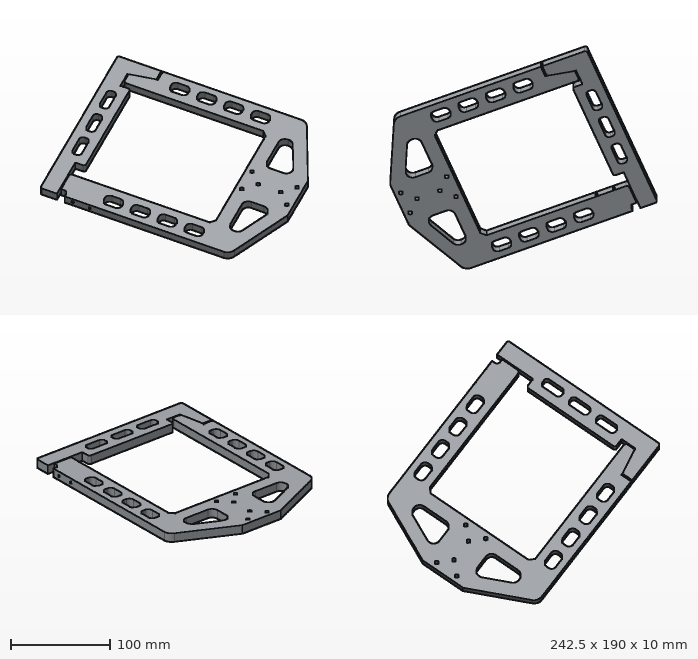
import cadquery as cq

length = 242.5
width = 190.0
thickness = 10.0
mid_y = width / 2

arm_width = 29.3
arm_gap = 1.2
inner_end_x = 179.2
inner_corner_bevel = 4.8
arm_tip_radius = 3.0
taper_start_x = 209.5
head_nose_width = 50.0
taper_corner_radius = 10.0

bar_width = 18.7
bar_corner_radius = 2.5
hook_reach = 48.3
hook_depth = 12.1
hook_root_depth = 17.7
hook_slot = 1.7
tooth_reach = 29.5
tooth_length = 110.5
tooth_center_y = 100.2
tooth_radius = 2.5

notch_x = 27.2
notch_height = 7.3
notch_radius = 4.0

window_count = 4
window_length = 20.0
window_width = 12.5
window_pitch = 29.8
window_first_x = 75.0
window_edge_offset = 13.8
window_radius = 5.0

slot_count = 3
slot_length = 24.0
slot_width = 10.2
slot_radius = 4.1
slot_pitch = 33.5
slot_x = 14.5

head_window_left_x = 194.5
head_window_base_offset = 24.0
head_window_base_length = 32.3
head_window_radius = 7.0

mount_hole_diameter = 4.0
mount_center_x = 211.0
mount_outer_spacing_x = 50.0
mount_outer_spacing_y = 25.0
mount_inner_spacing_x = 25.0

cross_hole_diameter = 2.5
cross_hole_xs = (36.0, 54.8)

arm_start_x = bar_width + arm_gap
hook_slope = (hook_root_depth - hook_depth) / (hook_reach - bar_width)
taper_run = length - taper_start_x
taper_rise = (width - head_nose_width) / 2


def hook_face_y(x):
    """Height of the sloping contact face between hook and upper arm."""
    return width - hook_depth - hook_slope * (hook_reach - x)


def plate(points):
    """Extrude a closed outline to the common thickness."""
    return cq.Workplane("XY").polyline(points).close().extrude(thickness)


def upright_edge(body, corner):
    """Select the upright edge standing at a plan position."""
    x, y = corner
    return body.edges("|Z").edges(cq.selectors.NearestToPointSelector((x, y, thickness / 2)))


def round_corners(body, corners, radius):
    for corner in corners:
        body = upright_edge(body, corner).fillet(radius)
    return body


def bevel_corners(body, corners, size):
    for corner in corners:
        body = upright_edge(body, corner).chamfer(size)
    return body


def rounded_windows(centers, size_x, size_y, radius):
    """Cutter for equal rectangular windows with rounded corners."""
    cutter = cq.Workplane("XY").pushPoints(centers).rect(size_x, size_y).extrude(thickness)
    return cutter.edges("|Z").fillet(radius)


def arm_windows():
    xs = [window_first_x + i * window_pitch for i in range(window_count)]
    ys = (window_edge_offset, width - window_edge_offset)
    centers = [(x, y) for x in xs for y in ys]
    return rounded_windows(centers, window_length, window_width, window_radius)


def head_window(side):
    """Tapered cutter beside the mounting holes; side is +1 (upper) or -1 (lower)."""
    base_y = mid_y + side * head_window_base_offset
    narrow_y = mid_y + side * (mid_y - arm_width)
    narrow_length = head_window_base_length - abs(narrow_y - base_y) * taper_run / taper_rise
    cutter = plate([
        (head_window_left_x, base_y),
        (head_window_left_x + head_window_base_length, base_y),
        (head_window_left_x + narrow_length, narrow_y),
        (head_window_left_x, narrow_y),
    ])
    return cutter.edges("|Z").fillet(head_window_radius)


def mounting_holes():
    outer = [
        (mount_center_x + sx * mount_outer_spacing_x / 2, mid_y + sy * mount_outer_spacing_y / 2)
        for sx in (-1, 1)
        for sy in (-1, 1)
    ]
    inner = [(mount_center_x + sx * mount_inner_spacing_x / 2, mid_y) for sx in (-1, 1)]
    return cq.Workplane("XY").pushPoints(outer + inner).circle(mount_hole_diameter / 2).extrude(thickness)


def cross_holes():
    """Cutter for the horizontal holes running across the lower arm."""
    centers = [(x, thickness / 2) for x in cross_hole_xs]
    return cq.Workplane("XZ").pushPoints(centers).circle(cross_hole_diameter / 2).extrude(-arm_width)


def make_frame():
    lower_inner_y = arm_width
    upper_inner_y = width - arm_width
    slot_end_x = hook_reach + hook_slot
    notch_corner = (notch_x, notch_height)
    tips = [(arm_start_x, lower_inner_y), (arm_start_x, upper_inner_y)]
    inner_corners = [(inner_end_x, lower_inner_y), (inner_end_x, upper_inner_y)]
    taper_corners = [(taper_start_x, 0), (taper_start_x, width)]
    body = plate([
        (notch_x, 0),
        taper_corners[0],
        (length, taper_rise),
        (length, width - taper_rise),
        taper_corners[1],
        (slot_end_x, width),
        (slot_end_x, width - hook_depth),
        (hook_reach, width - hook_depth),
        (arm_start_x, hook_face_y(arm_start_x)),
        tips[1],
        inner_corners[1],
        inner_corners[0],
        tips[0],
        (arm_start_x, notch_height),
        notch_corner,
    ])
    body = round_corners(body, tips, arm_tip_radius)
    body = bevel_corners(body, inner_corners, inner_corner_bevel)
    body = round_corners(body, taper_corners, taper_corner_radius)
    body = round_corners(body, [notch_corner], notch_radius)
    body = body.cut(arm_windows()).cut(mounting_holes()).cut(cross_holes())
    for side in (-1, 1):
        body = body.cut(head_window(side))
    return body


def bar_slots():
    middle = (slot_count - 1) / 2
    centers = [(slot_x, tooth_center_y + (i - middle) * slot_pitch) for i in range(slot_count)]
    return rounded_windows(centers, slot_width, slot_length, slot_radius)


def make_latch_bar():
    tooth_low_y = tooth_center_y - tooth_length / 2
    tooth_high_y = tooth_center_y + tooth_length / 2
    outer_corners = [(0, 0), (0, width)]
    tooth_corners = [(tooth_reach, tooth_low_y), (tooth_reach, tooth_high_y)]
    body = plate([
        outer_corners[0],
        (bar_width, 0),
        (bar_width, tooth_low_y),
        tooth_corners[0],
        tooth_corners[1],
        (bar_width, tooth_high_y),
        (bar_width, hook_face_y(bar_width)),
        (hook_reach, width - hook_depth),
        (hook_reach, width),
        outer_corners[1],
    ])
    body = round_corners(body, outer_corners, bar_corner_radius)
    body = round_corners(body, tooth_corners, tooth_radius)
    return body.cut(bar_slots())


frame = make_frame()
latch_bar = make_latch_bar()

result = cq.Compound.makeCompound([frame.val(), latch_bar.val()])